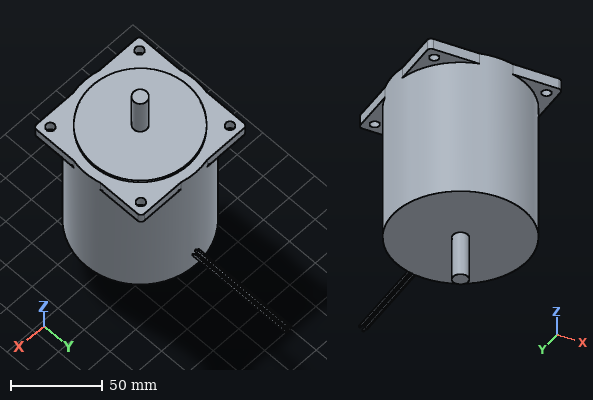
import cadquery as cq

overall_length = 157.0
overall_height = 153.9
body_diameter = 85.5
body_height = 95.0

flange_side = 83.0
flange_thickness = 7.0
flange_corner_radius = 2.5
hole_diameter = 5.7
hole_pitch = 69.7

pilot_diameter = 73.0
pilot_height = 1.9
shaft_diameter = 9.5
shaft_bottom_length = 28.5

wire_diameter = 1.27
wire_root_depth = 2.5
wire_offset = 2.0
wire_center_height = 13.2
wire_end = overall_length - body_diameter / 2
wire_start = body_diameter / 2 - wire_root_depth


def cylinder(diameter, bottom, height):
    """Upright cylinder on the motor axis."""
    return cq.Workplane("XY").workplane(offset=bottom).circle(diameter / 2).extrude(height)


def mounting_flange():
    """Square plate with rounded corners and four through holes."""
    plate = (
        cq.Workplane("XY")
        .workplane(offset=body_height - flange_thickness)
        .rect(flange_side, flange_side)
        .extrude(flange_thickness)
        .edges("|Z")
        .fillet(flange_corner_radius)
    )
    return (
        plate.faces(">Z")
        .workplane()
        .rect(hole_pitch, hole_pitch, forConstruction=True)
        .vertices()
        .hole(hole_diameter)
    )


def lead_wires():
    """Parallel wires along +Y, rooted inside the body wall."""
    diamond = [(wire_offset, 0), (0, wire_offset), (-wire_offset, 0), (0, -wire_offset)]
    return (
        cq.Workplane("XZ", origin=(0, wire_start, wire_center_height))
        .pushPoints(diamond)
        .circle(wire_diameter / 2)
        .extrude(wire_start - wire_end)
    )


result = (
    cylinder(body_diameter, 0, body_height)
    .union(mounting_flange())
    .union(cylinder(pilot_diameter, body_height, pilot_height))
    .union(cylinder(shaft_diameter, -shaft_bottom_length, overall_height))
    .union(lead_wires())
)